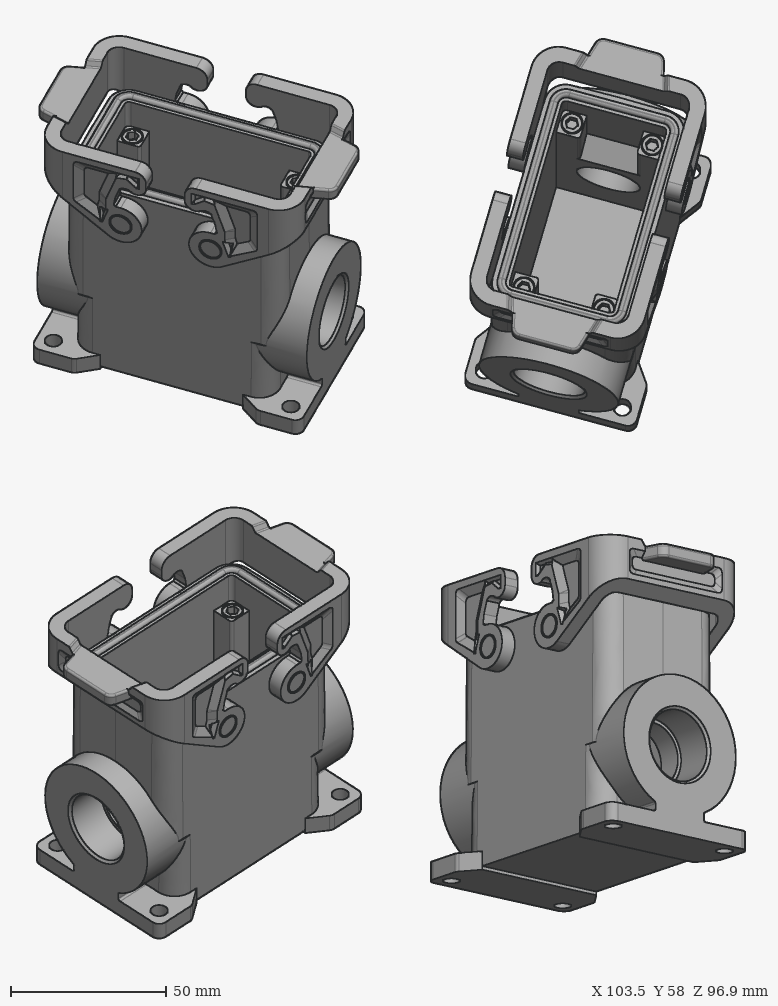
import cadquery as cq
import math

BODY_BOTTOM = 1.2
BODY_TOP = 80.0
STEP_Z = 30.2
LOWER_HALF_X = 34.9
LOWER_HALF_Y = 23.7
UPPER_HALF_X = 38.4
END_CREASE = 0.3
BODY_CORNER_R = 7.3
BODY_DRAFT = 0.4

CAVITY_HALF_X = 32.3
CAVITY_HALF_Y = 17.5
CAVITY_CORNER_R = 1.5
FLOOR_Z = 5.0
LOWER_CAVITY_HALF_X = 24.3
RAMP_BOTTOM_Z = 45.0
RAMP_ANGLE = 24.0

BEAD_INSET = 4.0
BEAD_WIDTH = 2.8
BEAD_HEIGHT = 1.4
BEAD_ROUND = 1.3
BEAD_CORNER_R = 5.5

POST_TOP = 69.3
POST_SIZE = 8.0
POST_CORNER_R = 1.0
POST_X = 28.6
POST_Y = 13.4
SCREW_R = 3.5
SCREW_RING_WIDTH = 0.3
SCREW_RING_DEPTH = 0.3
HEX_ACROSS_CORNERS = 4.2
HEX_DEPTH = 3.0

END_X = 46.85
BOSS_R = 23.3
BOSS_INNER_X = 28.0
BORE_R = 10.6
BORE_COUNTER_R = 11.9
BORE_COUNTER_DEPTH = 14.0
BORE_CHAMFER = 0.9
WEB_HALF_Y = 10.1
WEB_FILLET = 0.7

FLANGE_HEIGHT = 6.2
FLANGE_HALF_Y = 28.7
FLANGE_BEND_X = 31.9
FLANGE_INNER_X = 24.8
FLANGE_CORNER_R = 3.0
FLANGE_BEND_R = 2.8
FLANGE_HOLE_R = 2.8
FLANGE_HOLE_INSET = 5.6

LEVER_TOP = 96.9
LEVER_HALF_X = 44.8
LEVER_HALF_Y = 29.0
LEVER_INNER_HALF_X = 39.75
LEVER_INNER_HALF_Y = 23.7
LEVER_OUTER_R = 9.0
LEVER_INNER_R = 4.0
LEVER_END_BOTTOM = 82.7
PIVOT_X = -15.6
PIVOT_Z = 71.8
PIVOT_R = 7.4
PIN_R = 3.9
PIN_RING_WIDTH = 0.35
PIN_RING_DEPTH = 0.3
PIN_ROOT_Y = 20.0
HOOK_TIP_X = -6.7
HOOK_TOP_R = 3.9
HOOK_LIP_R = 3.5
HOOK_LIP_Z = 90.5
LIP_END = (-11.8, 87.3)
CROWN_TOP = (-14.0, 88.3)
CROWN_END = (-16.0, 87.2)
THROAT_BEND = (-17.4, 83.1)
THROAT_FOOT = (-17.9, 79.9)
THROAT_CORNER_X = -17.2
POCKET_LEFT_X = -31.9
POCKET_TOP = 94.3
POCKET_DEPTH = 1.75
POCKET_SLOPE = 60.0
POCKET_CORNER_R = 3.5
HOOK_POCKET_END_X = -9.0
HOOK_POCKET_DEPTH = 1.0
HOOK_POCKET_SLOPE = 45.0
TIP_POCKET_TOP = 76.8
TIP_POCKET_DEPTH = 1.7
TIP_POCKET_SLOPE = 30.0
END_POCKET_HALF_Y = 19.2
END_POCKET_TOP = 93.2
END_POCKET_BOTTOM = 84.7
END_POCKET_DEPTH = 1.2

TAB_TIP_X = 51.75
TAB_TOP = 94.9
TAB_BOTTOM = 90.4
TAB_HALF_Y = 12.8
TAB_FLARE = 0.27
TAB_CORNER_R = 3.0
TAB_EDGE_R = 0.8
NOTCH_SLOPE = 35.0
NOTCH_ROUND = 0.7


def block(half_x, half_y, z0, z1, corner_r, draft=0):
    """Upright rounded block centred on the Z axis."""
    outline = cq.Sketch().rect(2 * half_x, 2 * half_y).vertices().fillet(corner_r)
    return cq.Workplane("XY").workplane(offset=z0).placeSketch(outline).extrude(z1 - z0, taper=draft)


def both_ends(shape):
    """The shape together with its mirror image at the other X end."""
    return shape.union(shape.mirror("YZ"))


def both_sides(shape):
    """The shape together with its mirror image on the other Y side."""
    return shape.union(shape.mirror("XZ"))


def x_cylinder(radius, x0, x1):
    return cq.Workplane("YZ", origin=(x0, 0, STEP_Z)).circle(radius).extrude(x1 - x0)


def make_body():
    lower = block(LOWER_HALF_X, LOWER_HALF_Y, BODY_BOTTOM, STEP_Z, BODY_CORNER_R, BODY_DRAFT)
    half_y = LOWER_HALF_Y - (STEP_Z - BODY_BOTTOM) * math.tan(math.radians(BODY_DRAFT))
    corner_x = UPPER_HALF_X - END_CREASE
    corners = [(corner_x, half_y), (-corner_x, half_y), (-corner_x, -half_y), (corner_x, -half_y)]
    outline = [(UPPER_HALF_X, 0), *corners[:2], (-UPPER_HALF_X, 0), *corners[2:]]
    sketch = cq.Sketch().polygon(outline + outline[:1])
    sketch = sketch.vertices("(>Y or <Y)").fillet(BODY_CORNER_R)
    upper = cq.Workplane("XY").workplane(offset=STEP_Z).placeSketch(sketch)
    upper = upper.extrude(BODY_TOP - STEP_Z, taper=BODY_DRAFT)
    return lower.union(upper).clean()


def make_bead():
    outer_x = CAVITY_HALF_X + BEAD_INSET
    outer_y = CAVITY_HALF_Y + BEAD_INSET
    top = BODY_TOP + BEAD_HEIGHT
    outer = block(outer_x, outer_y, BODY_TOP, top, BEAD_CORNER_R)
    inner = block(outer_x - BEAD_WIDTH, outer_y - BEAD_WIDTH, BODY_TOP, top, BEAD_CORNER_R - BEAD_WIDTH)
    return outer.cut(inner).faces(">Z").edges().fillet(BEAD_ROUND)


def make_entry():
    """Boss, supporting web and flange at the -X end."""
    boss = x_cylinder(BOSS_R, -END_X, -BOSS_INNER_X)
    web_length = END_X - BOSS_INNER_X
    web = cq.Workplane("XY").box(web_length, 2 * WEB_HALF_Y, STEP_Z, centered=(False, True, False))
    web = web.translate((-END_X, 0, 0))
    outline = [
        (-END_X, FLANGE_HALF_Y),
        (-FLANGE_BEND_X, FLANGE_HALF_Y),
        (-FLANGE_INNER_X, LOWER_HALF_Y),
        (-FLANGE_INNER_X, -LOWER_HALF_Y),
        (-FLANGE_BEND_X, -FLANGE_HALF_Y),
        (-END_X, -FLANGE_HALF_Y),
    ]
    flange = cq.Workplane("XY").polyline(outline).close().extrude(FLANGE_HEIGHT)
    flange = flange.edges("|Z and <X").fillet(FLANGE_CORNER_R)
    for y in (-FLANGE_HALF_Y, FLANGE_HALF_Y):
        bend = cq.NearestToPointSelector((-FLANGE_BEND_X, y, FLANGE_HEIGHT / 2))
        flange = flange.edges(bend).fillet(FLANGE_BEND_R)
    hole_x = -END_X + FLANGE_HOLE_INSET
    hole_y = FLANGE_HALF_Y - FLANGE_HOLE_INSET
    holes = cq.Workplane("XY").pushPoints([(hole_x, -hole_y), (hole_x, hole_y)])
    holes = holes.circle(FLANGE_HOLE_R).extrude(FLANGE_HEIGHT)
    entry = boss.union(web).union(flange.cut(holes))
    boss_foot_z = STEP_Z - math.sqrt(BOSS_R ** 2 - WEB_HALF_Y ** 2)
    middle_x = -(END_X + BOSS_INNER_X) / 2
    for y in (-WEB_HALF_Y, WEB_HALF_Y):
        for z in (boss_foot_z, FLANGE_HEIGHT):
            corner = cq.NearestToPointSelector((middle_x, y, z))
            entry = entry.edges(corner).fillet(WEB_FILLET)
    return entry


def make_cavity():
    upper = block(CAVITY_HALF_X, CAVITY_HALF_Y, FLOOR_Z, BODY_TOP, CAVITY_CORNER_R)
    ramp_run = CAVITY_HALF_X - LOWER_CAVITY_HALF_X
    ramp_top_z = RAMP_BOTTOM_Z + ramp_run * math.tan(math.radians(RAMP_ANGLE))
    profile = [
        (-LOWER_CAVITY_HALF_X, FLOOR_Z),
        (LOWER_CAVITY_HALF_X, FLOOR_Z),
        (LOWER_CAVITY_HALF_X, RAMP_BOTTOM_Z),
        (CAVITY_HALF_X, ramp_top_z),
        (CAVITY_HALF_X, BODY_TOP),
        (-CAVITY_HALF_X, BODY_TOP),
        (-CAVITY_HALF_X, ramp_top_z),
        (-LOWER_CAVITY_HALF_X, RAMP_BOTTOM_Z),
    ]
    funnel = cq.Workplane("XZ").polyline(profile).close().extrude(CAVITY_HALF_Y, both=True)
    return upper.intersect(funnel)


def make_bore():
    """Stepped, chamfered entry bore at the -X end."""
    bore = x_cylinder(BORE_R, -END_X, -LOWER_CAVITY_HALF_X)
    counterbore = x_cylinder(BORE_COUNTER_R, -END_X, BORE_COUNTER_DEPTH - END_X)
    mouth = cq.Workplane(cq.Solid.makeCone(
        BORE_COUNTER_R + BORE_CHAMFER, BORE_COUNTER_R, BORE_CHAMFER,
        cq.Vector(-END_X, 0, STEP_Z), cq.Vector(1, 0, 0)))
    return bore.union(counterbore).union(mouth)


def make_post():
    """Insert post in the (-X, +Y) corner of the cavity, with a hex socket screw."""
    height = POST_TOP - RAMP_BOTTOM_Z
    post = cq.Workplane("XY").box(POST_SIZE, POST_SIZE, height, centered=False)
    post = post.translate((-CAVITY_HALF_X, CAVITY_HALF_Y - POST_SIZE, RAMP_BOTTOM_Z))
    post = post.edges("|Z and >X and <Y").fillet(POST_CORNER_R)
    top = cq.Workplane("XY", origin=(-POST_X, POST_Y, POST_TOP))
    ring = top.circle(SCREW_R).circle(SCREW_R - SCREW_RING_WIDTH).extrude(-SCREW_RING_DEPTH)
    socket = top.transformed(rotate=(0, 0, 90)).polygon(6, HEX_ACROSS_CORNERS).extrude(-HEX_DEPTH)
    return post.cut(ring).cut(socket)


def lever_side_profile():
    """Side outline of the -X lever: end wall, hook and round pivot eye."""
    dx = PIVOT_X + LEVER_HALF_X
    dz = PIVOT_Z - LEVER_END_BOTTOM
    slope = math.atan2(dz, dx) - math.asin(PIVOT_R / math.hypot(dx, dz))
    tangent = (PIVOT_X + PIVOT_R * math.sin(slope), PIVOT_Z - PIVOT_R * math.cos(slope))
    eye_side = (PIVOT_X + PIVOT_R, PIVOT_Z)
    eye_top = (PIVOT_X, PIVOT_Z + PIVOT_R)
    diagonal = math.sqrt(0.5)
    top_x = HOOK_TIP_X - HOOK_TOP_R
    lip_x = HOOK_TIP_X - HOOK_LIP_R
    return (
        cq.Workplane("XZ")
        .moveTo(-LEVER_HALF_X, LEVER_TOP)
        .lineTo(top_x, LEVER_TOP)
        .threePointArc(
            (top_x + HOOK_TOP_R * diagonal, LEVER_TOP - HOOK_TOP_R * (1 - diagonal)),
            (HOOK_TIP_X, LEVER_TOP - HOOK_TOP_R))
        .lineTo(HOOK_TIP_X, HOOK_LIP_Z)
        .threePointArc(
            (lip_x + HOOK_LIP_R * diagonal, HOOK_LIP_Z - HOOK_LIP_R * diagonal),
            (lip_x, HOOK_LIP_Z - HOOK_LIP_R))
        .lineTo(*LIP_END)
        .threePointArc(CROWN_TOP, CROWN_END)
        .lineTo(*THROAT_BEND)
        .lineTo(*THROAT_FOOT)
        .lineTo(THROAT_CORNER_X, PIVOT_Z + PIVOT_R)
        .lineTo(*eye_top)
        .threePointArc((PIVOT_X + PIVOT_R * diagonal, PIVOT_Z + PIVOT_R * diagonal), eye_side)
        .threePointArc((PIVOT_X + PIVOT_R * diagonal, PIVOT_Z - PIVOT_R * diagonal), tangent)
        .lineTo(-LEVER_HALF_X, LEVER_END_BOTTOM)
        .close()
    )


def make_side_pocket():
    """Sloped-wall recess in the -Y face of the lever, reaching into the hook and down to a tip."""
    main = [
        (POCKET_LEFT_X, POCKET_TOP),
        (-16.8, POCKET_TOP),
        (-16.8, 92.8),
        (-20.6, 81.5),
        (-20.6, 78.0),
        (-22.4, 71.2),
        (POCKET_LEFT_X, 77.0),
    ]
    hook = [
        (-17.3, POCKET_TOP),
        (HOOK_POCKET_END_X, POCKET_TOP),
        (HOOK_POCKET_END_X, 89.8),
        (-10.0, 89.8),
        (-13.5, 92.6),
        (-17.3, 92.0),
    ]
    tip = [(-24.0, TIP_POCKET_TOP), (-19.9, TIP_POCKET_TOP), (-21.9, 70.8), (-22.6, 70.8)]
    face = cq.Workplane("XZ", origin=(0, -LEVER_HALF_Y, 0))
    main_pocket = face.polyline(main).close().extrude(-POCKET_DEPTH, taper=POCKET_SLOPE)
    main_pocket = main_pocket.edges("not #Y").edges("<X").fillet(POCKET_CORNER_R)
    hook_pocket = face.polyline(hook).close().extrude(-HOOK_POCKET_DEPTH, taper=HOOK_POCKET_SLOPE)
    tip_pocket = face.polyline(tip).close().extrude(-TIP_POCKET_DEPTH, taper=TIP_POCKET_SLOPE)
    return main_pocket.union(hook_pocket).union(tip_pocket)


def make_end_pocket():
    """Sloped-wall recess in the -X face of the lever, below the finger tab."""
    height = END_POCKET_TOP - END_POCKET_BOTTOM
    face = cq.Workplane("YZ", origin=(-LEVER_HALF_X, 0, END_POCKET_BOTTOM + height / 2))
    pocket = face.rect(2 * END_POCKET_HALF_Y, height).extrude(END_POCKET_DEPTH, taper=POCKET_SLOPE)
    return pocket.edges("not #X").fillet(POCKET_CORNER_R)


def tab_outline(x_tip, x_root):
    """Corners of the tab in plan, widening from its tip toward its root."""
    def half_width(x):
        return TAB_HALF_Y + TAB_FLARE * (LEVER_HALF_X - x)
    return [
        (-x_tip, half_width(x_tip)),
        (-x_root, half_width(x_root)),
        (-x_root, -half_width(x_root)),
        (-x_tip, -half_width(x_tip)),
    ]


def make_tab():
    outline = tab_outline(TAB_TIP_X, LEVER_INNER_HALF_X)
    plane = cq.Workplane("XY").workplane(offset=TAB_BOTTOM)
    tab = plane.polyline(outline).close().extrude(TAB_TOP - TAB_BOTTOM)
    tab = tab.edges("|Z and <X").fillet(TAB_CORNER_R)
    return tab.faces("<X").edges("|Y").fillet(TAB_EDGE_R)


def make_tab_notch():
    """Flared gap in the lever's top edge above the finger tab."""
    outline = tab_outline(TAB_TIP_X, LEVER_INNER_HALF_X - LEVER_INNER_R)
    plane = cq.Workplane("XY").workplane(offset=TAB_TOP)
    return plane.polyline(outline).close().extrude(LEVER_TOP - TAB_TOP, taper=-NOTCH_SLOPE)


def round_notch(lever):
    """Round the upper edges and the floor corners of the flared gap."""
    middle_x = (LEVER_HALF_X + LEVER_INNER_HALF_X) / 2
    floor_y = TAB_HALF_Y + TAB_FLARE * (LEVER_HALF_X - middle_x)
    top_y = floor_y + (LEVER_TOP - TAB_TOP) * math.tan(math.radians(NOTCH_SLOPE))
    for side in (-1, 1):
        for y, z in ((top_y, LEVER_TOP), (floor_y, TAB_TOP)):
            edge = cq.NearestToPointSelector((-middle_x, side * y, z))
            lever = lever.edges(edge).fillet(NOTCH_ROUND)
    return lever


def make_pin():
    """Pivot pin on the -Y side, joining lever and body."""
    pin = cq.Workplane("XZ", origin=(PIVOT_X, -PIN_ROOT_Y, PIVOT_Z))
    return pin.circle(PIN_R).extrude(LEVER_HALF_Y - PIN_ROOT_Y)


def make_pin_ring():
    face = cq.Workplane("XZ", origin=(PIVOT_X, -LEVER_HALF_Y, PIVOT_Z))
    return face.circle(PIN_R).circle(PIN_R - PIN_RING_WIDTH).extrude(-PIN_RING_DEPTH)


def make_lever():
    """Complete locking lever at the -X end."""
    low = PIVOT_Z - PIVOT_R
    frame = block(LEVER_HALF_X, LEVER_HALF_Y, low, LEVER_TOP, LEVER_OUTER_R)
    frame = frame.cut(block(LEVER_INNER_HALF_X, LEVER_INNER_HALF_Y, low, LEVER_TOP, LEVER_INNER_R))
    lever = frame.intersect(lever_side_profile().extrude(LEVER_HALF_Y, both=True))
    lever = lever.cut(both_sides(make_side_pocket())).cut(make_end_pocket())
    lever = round_notch(lever.cut(make_tab_notch())).union(make_tab())
    lever = lever.union(both_sides(make_pin()))
    return lever.cut(both_sides(make_pin_ring()))


housing = make_body().union(both_ends(make_entry()))
housing = housing.cut(make_cavity()).cut(both_ends(make_bore()))
housing = housing.union(both_ends(both_sides(make_post()))).union(make_bead())
result = housing.union(both_ends(make_lever()))